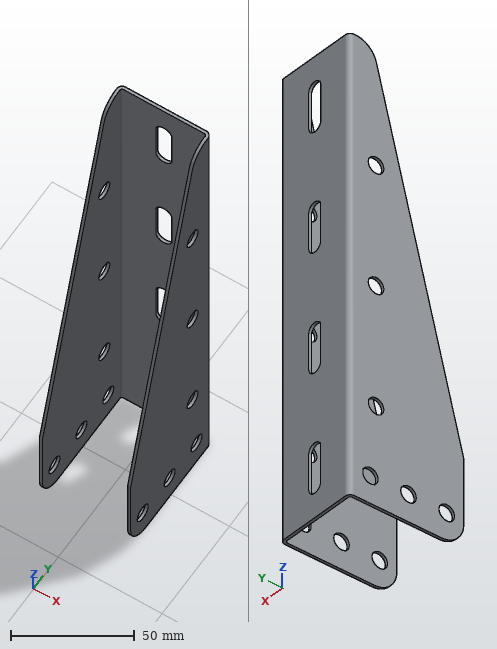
import cadquery as cq

width = 44.0
depth = 60.0
height = 230.0

thickness = 1.5
inner_bend_radius = 1.04
outer_bend_radius = inner_bend_radius + thickness

flange_top_depth = 12.0
flange_front_height = 44.8
top_corner_radius = 11.5
bottom_corner_radius = 12.0

slot_width = 7.5
slot_length = 25.0
slot_count = 4
first_slot_height = 24.8

hole_diameter = 8.0
column_hole_count = 3
column_depth = 14.0
first_column_height = 50.0
row_hole_count = 3
row_height = 13.8
first_row_depth = 11.0
row_pitch = 20.0

vertical_pitch = 60.0

back_y = depth / 2
front_y = -depth / 2


def bent_channel():
    """Full-height U channel, open toward -Y, with rounded bends at the back."""
    outer = (
        cq.Workplane("XY")
        .box(width, depth, height, centered=(True, True, False))
        .edges("|Z and >Y")
        .fillet(outer_bend_radius)
    )
    inner = (
        cq.Workplane("XY")
        .box(width - 2 * thickness, depth, height, centered=(True, True, False))
        .edges("|Z and >Y")
        .fillet(inner_bend_radius)
        .translate((0, -thickness, 0))
    )
    return outer.cut(inner)


def flange_profile():
    """Tapered side outline, extruded across the full width."""
    top_front_y = back_y - flange_top_depth
    blank = (
        cq.Workplane("YZ")
        .moveTo(back_y, 0)
        .lineTo(front_y, 0)
        .lineTo(front_y, flange_front_height)
        .lineTo(top_front_y, height)
        .lineTo(back_y, height)
        .close()
        .extrude(width / 2, both=True)
    )
    blank = blank.edges("|X").edges("<Y and <Z").fillet(bottom_corner_radius)
    top_corner = cq.selectors.NearestToPointSelector((0, top_front_y, height))
    return blank.edges("|X").edges(top_corner).fillet(top_corner_radius)


def web_slots():
    """Vertical slots through the back web."""
    centers = [(0, first_slot_height + i * vertical_pitch) for i in range(slot_count)]
    return (
        cq.Workplane("XZ", origin=(0, back_y, 0))
        .pushPoints(centers)
        .slot2D(slot_length, slot_width, 90)
        .extrude(2 * thickness, both=True)
    )


def flange_holes():
    """A vertical column and a bottom row of holes through both flanges."""
    column = [
        (back_y - column_depth, first_column_height + i * vertical_pitch)
        for i in range(column_hole_count)
    ]
    row = [(back_y - first_row_depth - i * row_pitch, row_height) for i in range(row_hole_count)]
    return (
        cq.Workplane("YZ")
        .pushPoints(column + row)
        .circle(hole_diameter / 2)
        .extrude(width, both=True)
    )


result = bent_channel().intersect(flange_profile()).cut(web_slots()).cut(flange_holes())